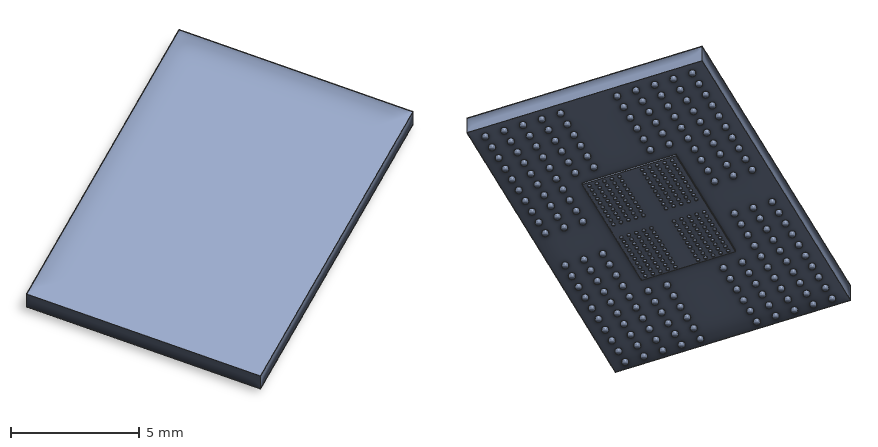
import cadquery as cq

package_length = 14.5
package_width = 10.0
package_thickness = 0.8

columns_per_half = 5
rows_per_half = 10
bare_strip_pitches = 3

ball_radius = 0.15
ball_height = 0.2
ball_span_x = 8.8
ball_span_y = 13.65
ball_pitch_x = ball_span_x / (2 * (columns_per_half - 1) + bare_strip_pitches)
ball_pitch_y = ball_span_y / (2 * (rows_per_half - 1) + bare_strip_pitches)

die_scale = 0.4
die_length = die_scale * package_length
die_width = die_scale * package_width
die_thickness = 0.09
bump_radius = 0.07
bump_height = 0.07

package_bottom = 0.0
die_bottom = package_bottom - die_thickness


def half_array_offsets(pitch, count_per_half):
    """Positions along one axis, on both sides of the bare strip."""
    first = bare_strip_pitches * pitch / 2
    one_side = [first + i * pitch for i in range(count_per_half)]
    return [-offset for offset in one_side] + one_side


def array_points(pitch_x, pitch_y):
    """Centres of all contacts in a full array."""
    return [
        (x, y)
        for x in half_array_offsets(pitch_x, columns_per_half)
        for y in half_array_offsets(pitch_y, rows_per_half)
    ]


def clears_die(point):
    """True where a solder ball stands wholly outside the die outline."""
    x, y = point
    return abs(x) > die_width / 2 + ball_radius or abs(y) > die_length / 2 + ball_radius


def slab_with_contacts(width, length, thickness, bottom, points, radius, height):
    """A slab with ball contacts that are partly sunk into its underside, as one solid."""
    slab = cq.Workplane("XY", origin=(0, 0, bottom)).rect(width, length).extrude(thickness)
    contact_level = bottom - height + radius
    contacts = (
        cq.Workplane("XY", origin=(0, 0, contact_level))
        .pushPoints(points)
        .sphere(radius, combine=False)
    )
    return cq.Workplane(slab.val().fuse(*contacts.vals()))


def make_package():
    """Package slab with solder balls everywhere except under the die."""
    points = [point for point in array_points(ball_pitch_x, ball_pitch_y) if clears_die(point)]
    return slab_with_contacts(
        package_width, package_length, package_thickness, package_bottom,
        points, ball_radius, ball_height,
    )


def make_die():
    """Die lying against the package underside, with a full array of small bumps."""
    points = array_points(die_scale * ball_pitch_x, die_scale * ball_pitch_y)
    return slab_with_contacts(
        die_width, die_length, die_thickness, die_bottom,
        points, bump_radius, bump_height,
    )


package = make_package()
die = make_die()

result = cq.Compound.makeCompound([package.val(), die.val()])